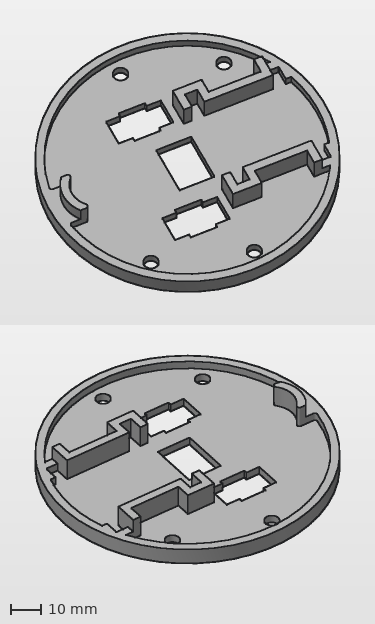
import cadquery as cq
import math

disc_radius = 50.0
disc_height = 6.0
rim_width = 3.0
floor_height = 3.0
total_height = 11.0
recess_radius = disc_radius - rim_width

wall = 3.0
bracket_inner_x = 14.6
bracket_outer_x = 23.0
bracket_bottom_y = 5.6
bracket_top_y = 38.1
hook_slot_width = 4.5
rim_slot_width = 4.6
slot_end_x = bracket_outer_x - wall
hook_slot_bottom_y = bracket_bottom_y + wall
hook_slot_top_y = hook_slot_bottom_y + hook_slot_width
rim_slot_top_y = bracket_top_y + rim_slot_width

tab_half_width = 7.4
tab_outer_radius = 11.8
tab_inner_radius = tab_outer_radius - wall
tab_center_y = -33.2
tab_tip_radius = 0.9
recess_corner_radius = 0.9
edge_margin = 0.1

center_window_width = 17.8
center_window_length = 12.7
center_window_y = bracket_bottom_y - center_window_length / 2
side_window_x = 21.5
side_window_y = -7.1
side_window_width = 9.7
side_window_length = 19.9
side_notch_width = 12.2
side_notch_length = 9.6
screw_hole_diameter = 5.1
screw_hole_points = [(-31.0, 28.0), (41.6, 4.5), (-41.6, -4.5), (31.0, -28.0)]


def block(x_min, x_max, y_min, y_max, z_min, z_max):
    """Axis-aligned block given by its limits."""
    size = (x_max - x_min, y_max - y_min, z_max - z_min)
    return cq.Workplane("XY").box(*size, centered=False).translate((x_min, y_min, z_min))


def cylinder(radius, z_min, z_max, center_y=0.0):
    """Vertical cylinder centred on the YZ plane."""
    return cq.Workplane("XY", origin=(0, center_y, z_min)).circle(radius).extrude(z_max - z_min)


def through_window(x, y, width, length):
    """Rectangular cutter through the whole disc."""
    return cq.Workplane("XY").center(x, y).rect(width, length).extrude(disc_height)


def rim_block():
    """Right-hand part of the rim that reaches inward to the bracket and its slot."""
    full = block(bracket_inner_x, bracket_outer_x, bracket_top_y, disc_radius,
                 floor_height, disc_height)
    slot = block(bracket_inner_x, slot_end_x, bracket_top_y, rim_slot_top_y,
                 floor_height, disc_height)
    return full.cut(slot)


def bracket():
    """Right-hand bracket wall, with a slotted hook at its lower end."""
    full = block(bracket_inner_x, bracket_outer_x, bracket_bottom_y, bracket_top_y,
                 floor_height, total_height)
    outer_gap = block(bracket_inner_x + wall, bracket_outer_x, hook_slot_top_y + wall,
                      bracket_top_y - wall, floor_height, total_height)
    hook_slot = block(bracket_inner_x, slot_end_x, hook_slot_bottom_y, hook_slot_top_y,
                      floor_height, total_height)
    return full.cut(outer_gap).cut(hook_slot)


def tab():
    """Arc-shaped tab with rounded tips, standing on the recess floor."""
    tab_box = block(-tab_half_width, tab_half_width, -disc_radius, tab_center_y,
                    floor_height, total_height)
    ring = cylinder(tab_outer_radius, floor_height, total_height, tab_center_y)
    ring = ring.cut(cylinder(tab_inner_radius, floor_height, total_height, tab_center_y))
    tip_y = tab_center_y - math.sqrt(tab_inner_radius**2 - tab_half_width**2)
    tip_edges = cq.selectors.BoxSelector(
        (-disc_radius, tip_y - edge_margin, 0), (disc_radius, tip_y + edge_margin, total_height))
    return tab_box.intersect(ring).edges("|Z").edges(tip_edges).fillet(tab_tip_radius)


def recess():
    """Round recess, interrupted by the neck that joins the tab to the rim."""
    neck = block(-tab_half_width, tab_half_width, -disc_radius, tab_center_y,
                 floor_height, disc_height)
    neck = neck.cut(cylinder(tab_outer_radius, floor_height, disc_height, tab_center_y))
    pocket = cylinder(recess_radius, floor_height, disc_height).cut(neck)
    corner_y = -math.sqrt(recess_radius**2 - tab_half_width**2)
    corner_edges = cq.selectors.BoxSelector(
        (-disc_radius, corner_y - edge_margin, 0), (disc_radius, corner_y + edge_margin, total_height))
    return pocket.edges("|Z").edges(corner_edges).fillet(recess_corner_radius)


disc = cylinder(disc_radius, 0, disc_height)
result = disc.cut(recess())

right_side = rim_block().intersect(disc).union(bracket())
result = result.union(right_side).union(right_side.mirror("YZ")).union(tab())

result = result.cut(through_window(0, center_window_y, center_window_width, center_window_length))
for side in (-1, 1):
    window_x = side * side_window_x
    result = result.cut(through_window(window_x, side_window_y, side_window_width, side_window_length))
    result = result.cut(through_window(window_x, side_window_y, side_notch_width, side_notch_length))

screw_holes = cq.Workplane("XY").pushPoints(screw_hole_points).circle(screw_hole_diameter / 2)
result = result.cut(screw_holes.extrude(disc_height))